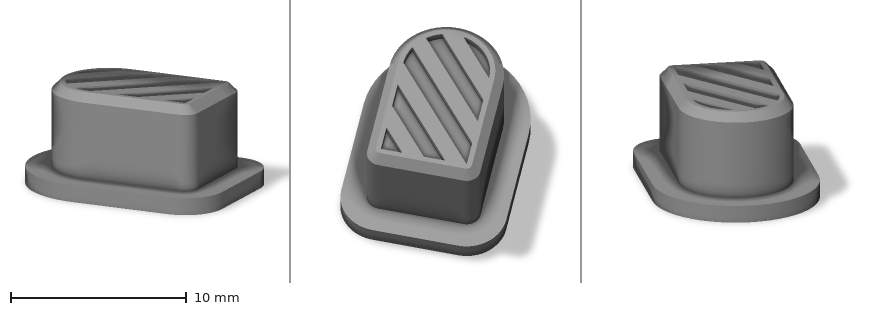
import cadquery as cq

length = 13.1
width = 9.6
height = 5.99
straight_length = 6.0
flange_thickness = 1.0
flange_margin = 1.5
body_chamfer = 0.5
recess_inset = 0.8
groove_depth = 0.5
groove_count = 5

end_radius = width / 2
corner_radius = length - end_radius - straight_length
recess_offset = flange_margin + recess_inset
recess_half_width = end_radius - recess_offset
groove_width = straight_length / 4
groove_pitch = 2 * groove_width


def rounded_plate(inset, bottom, thickness):
    """D-shaped plate: round at -X, with two rounded corners at +X."""
    radius = end_radius - inset
    right = straight_length + corner_radius - inset
    plate = (
        cq.Workplane("XY", origin=(0, 0, bottom))
        .moveTo(right, -radius)
        .lineTo(right, radius)
        .lineTo(0, radius)
        .threePointArc((-radius, 0), (0, -radius))
        .close()
        .extrude(thickness)
    )
    return plate.edges("|Z and >X").fillet(corner_radius - inset)


def recess_boundary():
    """Square-cornered D shape that limits the grooves."""
    return (
        cq.Workplane("XY", origin=(0, 0, height - groove_depth))
        .moveTo(straight_length, -recess_half_width)
        .lineTo(straight_length, recess_half_width)
        .lineTo(0, recess_half_width)
        .threePointArc((-recess_half_width, 0), (0, -recess_half_width))
        .close()
        .extrude(groove_depth)
    )


def groove_band(right):
    """Slanted band whose lower right corner is at X = right."""
    left = right - groove_width
    return (
        cq.Workplane("XY", origin=(0, 0, height - groove_depth))
        .polyline([
            (left, -recess_half_width),
            (right, -recess_half_width),
            (right + straight_length, recess_half_width),
            (left + straight_length, recess_half_width),
        ])
        .close()
        .extrude(groove_depth)
    )


flange = rounded_plate(0, 0, flange_thickness)
body = rounded_plate(flange_margin, 0, height).faces(">Z").chamfer(body_chamfer)
result = flange.union(body)

for index in range(groove_count):
    band = groove_band(straight_length - index * groove_pitch)
    result = result.cut(recess_boundary().intersect(band))